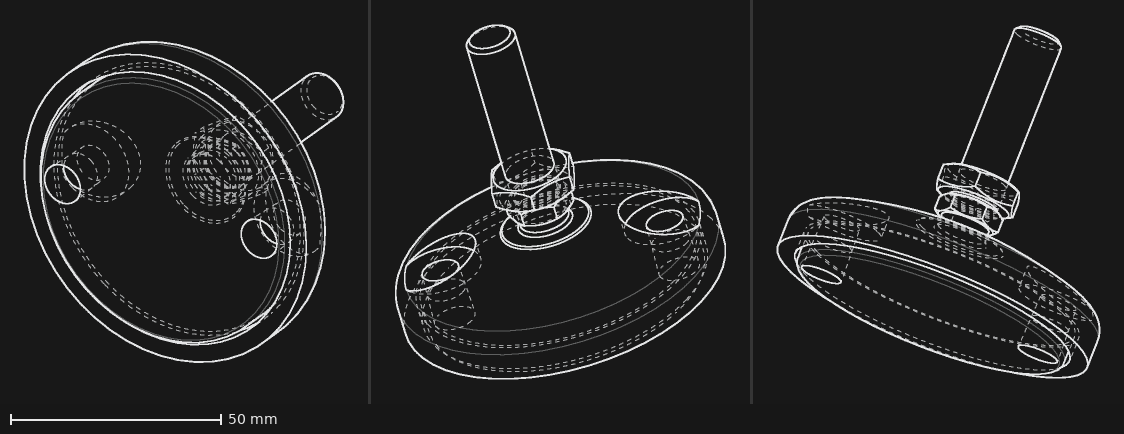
import cadquery as cq
import math


pad_radius = 34.0
pad_protrusion = 2.0
pad_thickness = 8.0
pad_edge_fillet = 1.0

base_radius = 39.5
recess_radius = pad_radius + 1.0
rim_top = 9.0
rim_fillet = 4.9
rim_fillet_end_slope = math.radians(20)
boss_top = 20.5
boss_chamfer = 0.5
boss_radius = 10.65

hole_offset = 27.5
hole_positions = (-hole_offset, hole_offset)
hole_mouth_radius = 5.0
hole_end_radius = 4.5
spotface_radius = 10.0

overall_height = 73.4
stem_radius = 6.0
stem_chamfer = 1.0
foot_flare_height = 0.9
foot_flare_width = 0.7
hex_bottom = 24.0
hex_height = 4.5
hex_across_flats = 14.0
hex_chamfer_radius = hex_across_flats / 2
hex_corner_angle = 0
groove_radius = 5.5
groove_shoulder_radius = 5.7
groove_half_height = 0.45
thread_runout = 0.95

hex_chamfer_angle = math.radians(30)

nut_height = 6.0
nut_across_flats = 19.0
nut_chamfer_radius = 9.0
nut_corner_angle = 30

hex_top = hex_bottom + hex_height
groove_bottom = hex_top + groove_half_height
nut_bottom = groove_bottom + groove_half_height
dome_top_radius = boss_radius + boss_chamfer
rim_fillet_centre_radius = base_radius - rim_fillet
shoulder_radius = rim_fillet_centre_radius + rim_fillet * math.sin(rim_fillet_end_slope)
shoulder_level = rim_top + rim_fillet * math.cos(rim_fillet_end_slope)


def revolve(profile):
    """Turn a closed half profile, drawn in XY, about the Y axis."""
    return profile.close().revolve(360, (0, 0, 0), (0, 1, 0))


def cylinder(radius, bottom, top, x=0):
    """Cylinder along Y between two levels."""
    return cq.Workplane(cq.Solid.makeCylinder(
        radius, top - bottom, cq.Vector(x, bottom, 0), cq.Vector(0, 1, 0)))


def hexagon(across_flats, bottom, height, chamfer_radius, corner_angle):
    """Hexagonal prism along Y, its corners turned off by a cone at both ends.

    corner_angle is the angle of one corner from the X axis, in degrees."""
    corner_radius = across_flats / math.sqrt(3)
    chamfer_height = (corner_radius - chamfer_radius) * math.tan(hex_chamfer_angle)
    top = bottom + height
    prism = (cq.Workplane("XZ", origin=(0, bottom, 0)).polygon(6, 2 * corner_radius).extrude(-height)
             .rotate((0, 0, 0), (0, 1, 0), corner_angle))
    envelope = revolve(
        cq.Workplane("XY").moveTo(0, bottom)
        .lineTo(chamfer_radius, bottom)
        .lineTo(corner_radius, bottom + chamfer_height)
        .lineTo(corner_radius, top - chamfer_height)
        .lineTo(chamfer_radius, top)
        .lineTo(0, top))
    return prism.intersect(envelope)


def fixing_hole(x):
    """Tapered cutter, widest at the floor face and ending at the spotface floor."""
    return cq.Workplane(cq.Solid.makeCone(
        hole_mouth_radius, hole_end_radius, shoulder_level, cq.Vector(x, 0, 0), cq.Vector(0, 1, 0)))


def make_pad():
    pad = cylinder(pad_radius, 0, pad_thickness).faces("<Y").edges().fillet(pad_edge_fillet)
    for x in hole_positions:
        pad = pad.cut(fixing_hole(x))
    return pad


def make_base():
    mid_angle = (math.pi / 2 + rim_fillet_end_slope) / 2
    fillet_middle = (rim_fillet_centre_radius + rim_fillet * math.sin(mid_angle),
                     rim_top + rim_fillet * math.cos(mid_angle))
    base = revolve(
        cq.Workplane("XY").moveTo(0, pad_thickness)
        .lineTo(recess_radius, pad_thickness)
        .lineTo(recess_radius, pad_protrusion)
        .lineTo(base_radius, pad_protrusion)
        .lineTo(base_radius, rim_top)
        .threePointArc(fillet_middle, (shoulder_radius, shoulder_level))
        .tangentArcPoint((dome_top_radius, boss_top - boss_chamfer), relative=False)
        .lineTo(boss_radius, boss_top)
        .lineTo(0, boss_top))
    for x in hole_positions:
        base = base.cut(cylinder(spotface_radius, shoulder_level, boss_top, x))
        base = base.cut(fixing_hole(x))
    return base


def make_spindle():
    stem = revolve(
        cq.Workplane("XY").moveTo(0, boss_top)
        .lineTo(stem_radius + foot_flare_width, boss_top)
        .lineTo(stem_radius, boss_top + foot_flare_height)
        .lineTo(stem_radius, hex_bottom)
        .lineTo(groove_shoulder_radius, hex_top)
        .lineTo(groove_radius, groove_bottom)
        .lineTo(stem_radius, groove_bottom + thread_runout)
        .lineTo(stem_radius, overall_height - stem_chamfer)
        .lineTo(stem_radius - stem_chamfer, overall_height)
        .lineTo(0, overall_height))
    wrench_hex = hexagon(hex_across_flats, hex_bottom, hex_height, hex_chamfer_radius, hex_corner_angle)
    return stem.union(wrench_hex)


def make_nut():
    nut = hexagon(nut_across_flats, nut_bottom, nut_height, nut_chamfer_radius, nut_corner_angle)
    return nut.cut(cylinder(stem_radius, nut_bottom, nut_bottom + nut_height))


pad = make_pad()
base = make_base()
spindle = make_spindle()
nut = make_nut()

result = cq.Compound.makeCompound([pad.val(), base.val(), spindle.val(), nut.val()])